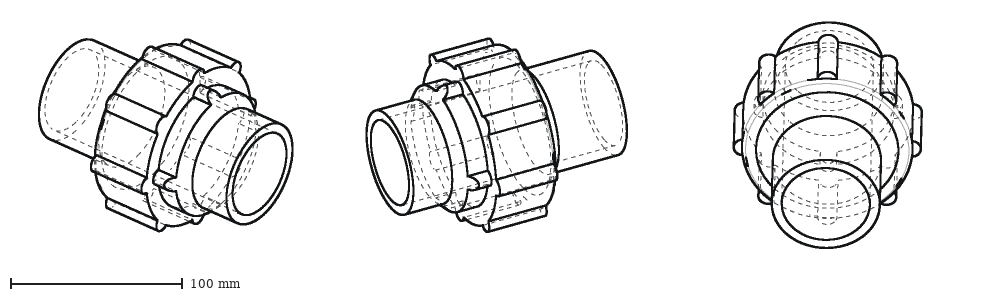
import cadquery as cq

overall_length = 138.0
pipe_radius = 63.0 / 2
bore_diameter = 51.3

left_flare_start = 44.0
nut_start = 54.0
left_flare_radius = pipe_radius + (nut_start - left_flare_start)

nut_end = 93.2
nut_radius = 49.7
nut_edge_round = 2.1
grip_start = nut_start + nut_edge_round
grip_count = 8
grip_tip_radius = 54.5
grip_radius = 5.7

collar_radius = 38.4
cone_end = 112.9
collar_end = cone_end - (collar_radius - pipe_radius)
collar_rib_count = 4
collar_rib_radius = 4.8
collar_rib_tip_radius = collar_radius + collar_rib_radius
collar_rib_end = cone_end - (collar_rib_tip_radius - pipe_radius)


def revolve_profile(points):
    """Revolve a closed (x, radius) outline about the X axis."""
    return cq.Workplane("XY").polyline(points).close().revolve(360, (0, 0, 0), (1, 0, 0))


def disc(start, end, diameter):
    return cq.Workplane("YZ").workplane(offset=start).circle(diameter / 2).extrude(end - start)


def round_ribs(start, end, tip_radius, rib_radius, count):
    """Round bars parallel to X, evenly spaced about the axis."""
    return (
        cq.Workplane("YZ")
        .workplane(offset=start)
        .polarArray(tip_radius - rib_radius, 0, 360, count)
        .circle(rib_radius)
        .extrude(end - start)
    )


def make_core():
    return revolve_profile([
        (0, 0),
        (0, pipe_radius),
        (left_flare_start, pipe_radius),
        (nut_start, left_flare_radius),
        (nut_end, left_flare_radius),
        (nut_end, collar_radius),
        (collar_end, collar_radius),
        (cone_end, pipe_radius),
        (overall_length, pipe_radius),
        (overall_length, 0),
    ])


def make_nut():
    barrel = disc(nut_start, nut_end, 2 * nut_radius).faces("<X").edges().fillet(nut_edge_round)
    return barrel.union(round_ribs(grip_start, nut_end, grip_tip_radius, grip_radius, grip_count))


def make_collar_ribs():
    """Ribs on the collar, trimmed to the same 45 degree cone as the collar end."""
    ribs = round_ribs(nut_end, collar_end, collar_rib_tip_radius, collar_rib_radius, collar_rib_count)
    envelope = revolve_profile([
        (nut_end, 0),
        (nut_end, collar_rib_tip_radius),
        (collar_rib_end, collar_rib_tip_radius),
        (collar_end, collar_radius),
        (collar_end, 0),
    ])
    return ribs.intersect(envelope)


bore = disc(0, overall_length, bore_diameter)
result = make_core().union(make_nut()).union(make_collar_ribs()).cut(bore)